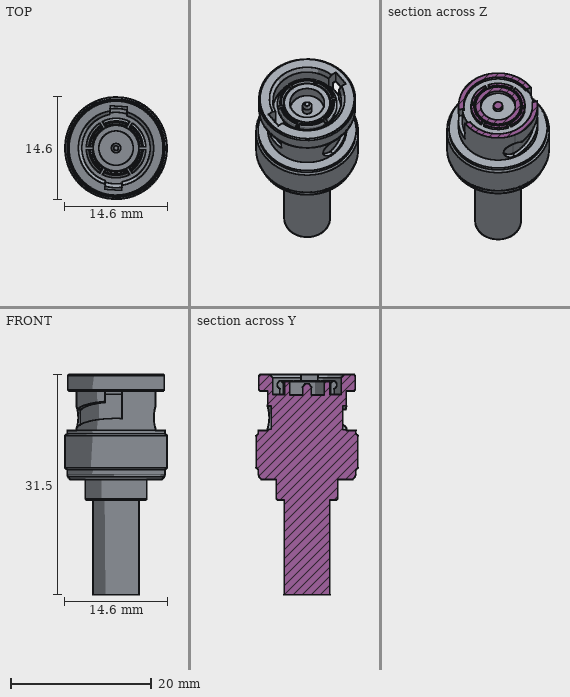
import cadquery as cq
import math

tube_radius = 3.3
crimp_ring_radius = 4.4
crimp_ring_bottom = 13.5
crimp_ring_chamfer = 0.2

grip_radius = 7.3
grip_step_radius = 7.0
grip_bottom = 16.45
grip_base_radius = 6.55
grip_base_bevel_height = 0.4
grip_base_corner_radius = 6.9
grip_base_corner_height = 0.75
grip_band_bottom = 17.84
grip_band_top = 22.98
grip_band_bevel = 0.27
grip_top = 23.47

neck_radius = 5.65
collar_radius = 6.9
collar_height = 2.4
collar_chamfer = 0.2
collar_bore_radius = 4.87
collar_bore_chamfer = 0.5
overall_height = 31.45
collar_bottom = overall_height - collar_height

core_radius = 5.1
core_top = 28.6

pocket_radius = 1.62
pocket_height = 25.29
channel_width = 2.4
channel_slope = 15.3
keyway_width = 2.4
keyway_depth_radius = 5.97
keyway_angle = -3.9
groove_reach = 8.0

sleeve_inner_radius = 3.42
sleeve_bevel_radius = 3.69
sleeve_lip_radius = 3.88
sleeve_outer_radius = 4.25
sleeve_top = 30.5
sleeve_lip_height = 1.1
sleeve_slot_width = 0.43
sleeve_slot_count = 6
insulator_radius = 3.25
insulator_bore_radius = 2.45
insulator_top = 30.4
insulator_floor = 28.5
pin_radius = 0.66
pin_tip_radius = 0.33
pin_tip_length = 0.5
pin_top = 30.1


def cylinder(radius, bottom, top):
    return cq.Workplane("XY").workplane(offset=bottom).circle(radius).extrude(top - bottom)


def make_rear():
    tube = cylinder(tube_radius, 0, grip_bottom)
    crimp_ring = cylinder(crimp_ring_radius, crimp_ring_bottom, grip_bottom)
    return tube.union(crimp_ring.faces("<Z").chamfer(crimp_ring_chamfer))


def make_grip():
    outline = (
        cq.Workplane("XZ")
        .moveTo(0, grip_bottom)
        .lineTo(grip_base_radius, grip_bottom)
        .lineTo(grip_base_corner_radius, grip_bottom + grip_base_bevel_height)
        .lineTo(grip_step_radius, grip_bottom + grip_base_corner_height)
        .lineTo(grip_step_radius, grip_band_bottom)
        .lineTo(grip_radius, grip_band_bottom + grip_band_bevel)
        .lineTo(grip_radius, grip_band_top - grip_band_bevel)
        .lineTo(grip_step_radius, grip_band_top)
        .lineTo(grip_step_radius, grip_top)
        .lineTo(0, grip_top)
        .close()
    )
    return outline.revolve(360, (0, 0), (0, 1))


def make_neck_and_collar():
    neck = cylinder(neck_radius, grip_top, collar_bottom)
    collar = cylinder(collar_radius, collar_bottom, overall_height).edges().chamfer(collar_chamfer)
    bore = cylinder(collar_bore_radius, grip_top, overall_height)
    mouth = (
        cq.Workplane("XY")
        .workplane(offset=overall_height)
        .circle(collar_bore_radius + collar_bore_chamfer)
        .workplane(offset=-collar_bore_chamfer)
        .circle(collar_bore_radius)
        .loft()
    )
    return neck.union(collar).cut(bore).cut(mouth)


def make_bayonet_groove():
    """Groove opening on the -X side and climbing to an entry keyway on the -Y side."""
    slope = math.radians(channel_slope)
    climb = groove_reach * math.tan(slope)
    lower_start = pocket_height - pocket_radius / math.cos(slope)
    upper_start = lower_start + channel_width / math.cos(slope)
    channel = (
        cq.Workplane("YZ")
        .polyline([
            (0, lower_start),
            (-groove_reach, lower_start + climb),
            (-groove_reach, upper_start + climb),
            (0, upper_start),
        ])
        .close()
        .extrude(groove_reach, both=True)
    )
    keyway_side = cq.Workplane("XY").box(
        2 * groove_reach, 2 * groove_reach, 2 * overall_height
    ).translate((keyway_width / 2 - groove_reach, 0, 0))
    channel = channel.intersect(keyway_side.rotate((0, 0, 0), (0, 0, 1), keyway_angle))

    pocket = cq.Workplane("YZ").center(0, pocket_height).circle(pocket_radius).extrude(-groove_reach)

    keyway_bottom = (lower_start + upper_start) / 2 + neck_radius * math.tan(slope)
    keyway = (
        cq.Workplane("XY")
        .workplane(offset=keyway_bottom)
        .center(0, -keyway_depth_radius / 2)
        .rect(keyway_width, keyway_depth_radius)
        .extrude(overall_height - keyway_bottom)
        .rotate((0, 0, 0), (0, 0, 1), keyway_angle)
    )
    return channel.union(pocket).union(keyway)


def cut_bayonet_grooves(body):
    groove = make_bayonet_groove()
    for angle in (0, 180):
        body = body.cut(groove.rotate((0, 0, 0), (0, 0, 1), angle))
    return body


def make_sleeve():
    bevel = sleeve_bevel_radius - sleeve_inner_radius
    lip_bottom = sleeve_top - sleeve_lip_height
    lip_bulge = (sleeve_outer_radius, sleeve_top - sleeve_lip_height / 2)
    sleeve = (
        cq.Workplane("XZ")
        .moveTo(sleeve_inner_radius, core_top)
        .lineTo(sleeve_lip_radius, core_top)
        .lineTo(sleeve_lip_radius, lip_bottom)
        .threePointArc(lip_bulge, (sleeve_lip_radius, sleeve_top))
        .lineTo(sleeve_bevel_radius, sleeve_top)
        .lineTo(sleeve_inner_radius, sleeve_top - bevel)
        .close()
        .revolve(360, (0, 0), (0, 1))
    )
    for index in range(sleeve_slot_count):
        slot = (
            cq.Workplane("XY")
            .workplane(offset=core_top)
            .center(core_radius / 2, 0)
            .rect(core_radius, sleeve_slot_width)
            .extrude(sleeve_top - core_top)
            .rotate((0, 0, 0), (0, 0, 1), index * 360 / sleeve_slot_count)
        )
        sleeve = sleeve.cut(slot)
    return sleeve


def make_insulator_and_pin(core):
    insulator = cylinder(insulator_radius, core_top, insulator_top)
    bore = cylinder(insulator_bore_radius, insulator_floor, insulator_top)
    pin = cylinder(pin_radius, insulator_floor, pin_top)
    pin = pin.faces(">Z").chamfer(pin_tip_length, pin_radius - pin_tip_radius)
    return core.union(insulator).cut(bore).union(pin)


shell = cut_bayonet_grooves(make_neck_and_collar())
core = cylinder(core_radius, grip_top, core_top)
front = make_insulator_and_pin(core).union(make_sleeve())
result = make_rear().union(make_grip()).union(shell).union(front)